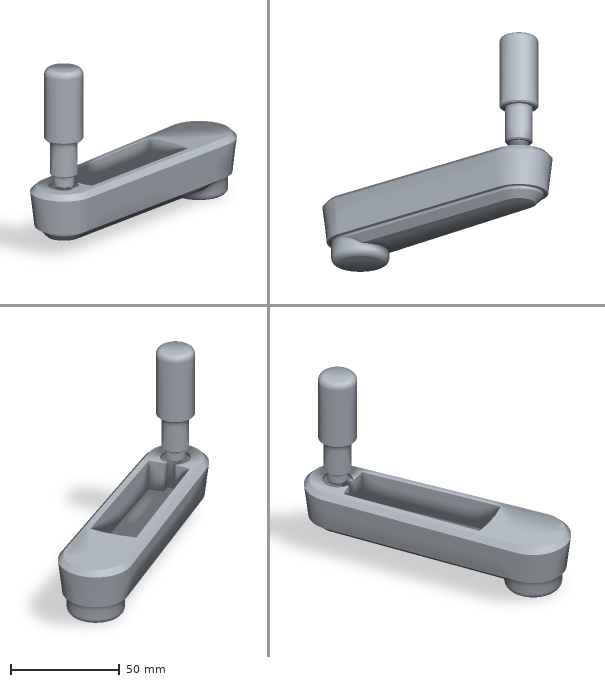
import cadquery as cq

arm_length = 132.9
arm_width = 35.0
hub_rim_radius = arm_width / 2
handle_rim_radius = 15.5
axis_spacing = arm_length - hub_rim_radius - handle_rim_radius

keel_bottom = 5.6
keel_shoulder = 9.2
body_bottom = 10.5
rim_height = 27.2
arm_top = 29.8

top_inset = 2.5
body_bottom_inset = 2.0
keel_inset = 4.1
keel_bottom_inset = keel_inset + keel_shoulder - keel_bottom

boss_radius = 13.4
boss_round = 2.9

pocket_floor = 14.8
pocket_hub_end = -21.9
pocket_hub_half_width = 11.4
pocket_hub_bow = 0.9
pocket_handle_end = -92.1
pocket_handle_half_width = 10.2
pocket_handle_bow = 0.7

cap_radius = 12.4
cap_thickness = 2.0

foot_radius = 7.0
foot_bottom = pocket_floor
foot_recess = 1.3
foot_top = arm_top - foot_recess
neck_width = 5.8
collar_radius = 4.7
collar_bottom = 30.5
stem_radius = 6.4
stem_bottom = 35.2
grip_radius = 9.0
grip_bottom = 52.5
handle_top = 87.0
grip_round = 2.9
step_chamfer = 0.7


def arm_outline(height, inset):
    """Straight-sided outline with a half circle around each axis, inset from the rim."""
    hub_radius = hub_rim_radius - inset
    handle_radius = handle_rim_radius - inset
    return (
        cq.Workplane("XY", origin=(0, 0, height))
        .moveTo(hub_radius, 0)
        .threePointArc((0, hub_radius), (-hub_radius, 0))
        .lineTo(-handle_radius, -axis_spacing)
        .threePointArc((0, -axis_spacing - handle_radius), (handle_radius, -axis_spacing))
        .close()
        .val()
    )


def arm_layer(bottom, bottom_inset, top, layer_top_inset):
    """Solid between two arm outlines at different heights."""
    outlines = [arm_outline(bottom, bottom_inset), arm_outline(top, layer_top_inset)]
    return cq.Workplane(cq.Solid.makeLoft(outlines, True))


def cylinder(radius, bottom, top, y=0):
    return cq.Workplane("XY", origin=(0, y, bottom)).circle(radius).extrude(top - bottom)


def handle_cylinder(radius, bottom, top):
    return cylinder(radius, bottom, top, -axis_spacing)


def make_pocket():
    return (
        cq.Workplane("XY", origin=(0, 0, pocket_floor))
        .moveTo(pocket_hub_half_width, pocket_hub_end)
        .threePointArc((0, pocket_hub_end + pocket_hub_bow), (-pocket_hub_half_width, pocket_hub_end))
        .lineTo(-pocket_handle_half_width, pocket_handle_end)
        .threePointArc(
            (0, pocket_handle_end - pocket_handle_bow),
            (pocket_handle_half_width, pocket_handle_end),
        )
        .close()
        .extrude(arm_top - pocket_floor)
    )


def make_cap():
    return cylinder(cap_radius, arm_top - cap_thickness, arm_top)


def make_foot():
    return handle_cylinder(foot_radius, foot_bottom, foot_top)


def make_slot():
    """Slot as wide as the neck, from the neck's inner face through the foot into the pocket."""
    slot_start = -axis_spacing + neck_width / 2
    slot_length = pocket_handle_end - slot_start
    return (
        cq.Workplane("XY", origin=(0, slot_start + slot_length / 2, pocket_floor))
        .rect(neck_width, slot_length)
        .extrude(arm_top - pocket_floor)
    )


def make_arm():
    keel = arm_layer(keel_bottom, keel_bottom_inset, keel_shoulder, keel_inset)
    keel_band = arm_layer(keel_shoulder, keel_inset, body_bottom, keel_inset)
    body = arm_layer(body_bottom, body_bottom_inset, rim_height, 0)
    bevel = arm_layer(rim_height, 0, arm_top, top_inset)
    boss = cylinder(boss_radius, 0, body_bottom).faces("<Z").edges().fillet(boss_round)
    foot_hole = handle_cylinder(foot_radius, foot_bottom, arm_top)
    arm = body.union(bevel).union(keel_band).union(keel).union(boss)
    return arm.cut(make_pocket()).cut(make_cap()).cut(foot_hole).cut(make_slot())


def make_handle():
    neck = (
        cq.Workplane("XY", origin=(0, -axis_spacing, foot_top))
        .rect(neck_width, neck_width)
        .extrude(collar_bottom - foot_top)
    )
    collar = handle_cylinder(collar_radius, collar_bottom, stem_bottom)
    stem = handle_cylinder(stem_radius, stem_bottom, grip_bottom).faces("<Z").chamfer(step_chamfer)
    grip = (
        handle_cylinder(grip_radius, grip_bottom, handle_top)
        .faces("<Z").chamfer(step_chamfer)
        .faces(">Z").edges().fillet(grip_round)
    )
    return make_foot().cut(make_slot()).union(neck).union(collar).union(stem).union(grip)


arm = make_arm()
hub_cap = make_cap()
handle = make_handle()

result = cq.Compound.makeCompound([arm.val(), hub_cap.val(), handle.val()])